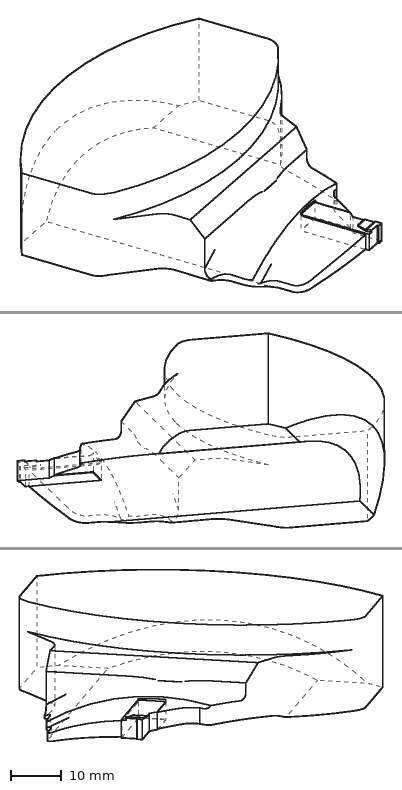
import cadquery as cq
import math


head_height = 18.7
head_half_width = 35.0
flat_start_x = 11.25
flat_end_x = 27.4
lens_front_x = 40.35
lens_radius = (head_half_width**2 + flat_start_x**2) / (2 * flat_start_x)
bevel_height = 8.8

shoulder_height = 12.6
shoulder_bevel_x = 43.9
slope_end_height = 8.8
wall_x = 47.3

axis_z = -35.8
blade_end_x = 72.0
root_radius = 44.15
step_radius = 43.85
tip_radius = 42.9
root_fillet = 1.6
step_x = 56.95
step_end_x = 58.4
step_arc_sag = 0.2
arch_radius = 63.3
arch_height = 3.65

insert_start_x = 57.2
insert_front_y = -4.4
insert_back_y = 1.25
insert_bottom_z = 3.5
insert_top_z = 7.2
insert_nose_x = 66.6
insert_end_x = 72.8
overall_length = 73.1
corner_run = 1.4
pad_start_x = 69.2
pad_corner_y = -2.7
pad_height = 0.2
lip_start_x = 71.65
lip_height = 0.45
lip_corner_y = -3.65
lip_outer_corner_y = -3.35
lip_end_y = -1.1


def extrude(sketch, height, bottom=0):
    """Extrude a closed XY outline upward from the given height."""
    return sketch.extrude(height).translate((0, 0, bottom))


def make_arm_outline():
    """Plan outline of the head, shoulder and blade."""
    return (
        cq.Workplane("XY")
        .moveTo(flat_start_x, head_half_width)
        .lineTo(flat_end_x, head_half_width)
        .threePointArc((28.9, 34.4), (30.2, 33.3))
        .threePointArc((34.6, 27.4), (37.5, 21.8))
        .threePointArc((38.7, 19.95), (40.4, 18.8))
        .lineTo(56.65, 10.45)
        .threePointArc((57.25, 9.9), (57.7, 8.2))
        .threePointArc((58.3, 6.65), (59.65, 5.25))
        .lineTo(insert_nose_x - corner_run, insert_back_y)
        .lineTo(insert_nose_x, 0)
        .lineTo(blade_end_x, 0)
        .lineTo(blade_end_x, insert_front_y)
        .threePointArc((70.7, -11.7), (68.3, -18.3))
        .threePointArc((67.0, -20.2), (65.05, -21.0))
        .lineTo(62.1, -21.0)
        .threePointArc((60.1, -21.35), (58.3, -22.4))
        .threePointArc((57, -22.95), (55.2, -23.3))
        .lineTo(52.3, -23.3)
        .threePointArc((50.45, -23.8), (48.8, -25.2))
        .lineTo(41.1, -25.1)
        .threePointArc((38.7, -25.45), (36.7, -26.8))
        .lineTo(30, -33.3)
        .threePointArc((28.9, -34.4), (flat_end_x, -head_half_width))
        .lineTo(flat_start_x, -head_half_width)
        .threePointArc((0, 0), (flat_start_x, head_half_width))
        .close()
    )


def make_height_limit():
    """Side profile that limits the height of the head, shoulder and slope."""
    slope_end_x = shoulder_bevel_x + shoulder_height - slope_end_height
    return (
        cq.Workplane("XZ", origin=(0, head_half_width, 0))
        .moveTo(0, bevel_height)
        .lineTo(0, head_height)
        .lineTo(lens_front_x, head_height)
        .lineTo(lens_front_x, shoulder_height)
        .lineTo(shoulder_bevel_x, shoulder_height)
        .lineTo(slope_end_x, slope_end_height)
        .lineTo(overall_length, slope_end_height)
        .lineTo(overall_length, 0)
        .lineTo(bevel_height, 0)
        .close()
        .extrude(2 * head_half_width)
    )


def make_shoulder_cutter():
    """Material above the shoulder and in front of the lens-shaped head."""
    above = cq.Workplane("XY").box(
        overall_length, 2 * head_half_width, head_height, centered=(False, True, False)
    )
    lens = (
        cq.Workplane("XY")
        .center(lens_front_x - lens_radius, 0)
        .circle(lens_radius)
        .extrude(head_height)
    )
    return above.cut(lens).translate((0, 0, shoulder_height))


def make_blade_limit():
    """Body of revolution about the blade axis, leaving the holder full before the wall."""
    clear_radius = root_radius + head_height + head_half_width
    fillet_offset = root_fillet * (1 - math.sqrt(0.5))
    step_mid_x = (step_x + step_end_x) / 2 - step_arc_sag
    step_mid_radius = (step_radius + tip_radius) / 2 - step_arc_sag
    return (
        cq.Workplane("XY")
        .moveTo(0, 0)
        .lineTo(0, clear_radius)
        .lineTo(wall_x, clear_radius)
        .lineTo(wall_x, root_radius + root_fillet)
        .threePointArc(
            (wall_x + fillet_offset, root_radius + fillet_offset),
            (wall_x + root_fillet, root_radius),
        )
        .lineTo(step_x, step_radius)
        .threePointArc((step_mid_x, step_mid_radius), (step_end_x, tip_radius))
        .lineTo(overall_length, tip_radius)
        .lineTo(overall_length, 0)
        .close()
        .revolve(360, (0, 0, 0), (1, 0, 0))
        .translate((0, 0, axis_z))
    )


def make_arch():
    """Cylinder that hollows the underside along X."""
    return (
        cq.Workplane("YZ")
        .center(0, arch_height - arch_radius)
        .circle(arch_radius)
        .extrude(overall_length)
    )


def make_insert_seat():
    """Opening through the blade, up to the sides of the insert."""
    return cq.Workplane("XY").box(
        overall_length - insert_start_x,
        insert_back_y - insert_front_y,
        head_height,
        centered=False,
    ).translate((insert_start_x, insert_front_y, 0))


def make_holder():
    holder = make_arm_outline().extrude(head_height)
    holder = holder.intersect(make_height_limit()).cut(make_shoulder_cutter())
    holder = holder.intersect(make_blade_limit())
    return holder.cut(make_arch()).cut(make_insert_seat())


def make_insert():
    bar = extrude(
        cq.Workplane("XY").polyline([
            (insert_start_x, insert_front_y),
            (insert_end_x, insert_front_y),
            (insert_end_x, lip_end_y),
            (overall_length, lip_end_y),
            (overall_length, 0),
            (insert_nose_x, 0),
            (insert_nose_x - corner_run, insert_back_y),
            (insert_start_x, insert_back_y),
        ]).close(),
        insert_top_z - insert_bottom_z,
        insert_bottom_z,
    )
    pad = extrude(
        cq.Workplane("XY").polyline([
            (pad_start_x, 0),
            (pad_start_x, pad_corner_y),
            (lip_start_x, lip_corner_y),
            (lip_start_x, 0),
        ]).close(),
        pad_height,
        insert_top_z,
    )
    lip = extrude(
        cq.Workplane("XY").polyline([
            (lip_start_x, 0),
            (lip_start_x, lip_corner_y),
            (insert_end_x, lip_outer_corner_y),
            (insert_end_x, lip_end_y),
            (overall_length, lip_end_y),
            (overall_length, 0),
        ]).close(),
        lip_height,
        insert_top_z,
    )
    return bar.union(pad).union(lip)


holder = make_holder()
insert = make_insert()
result = cq.Compound.makeCompound([holder.val(), insert.val()])